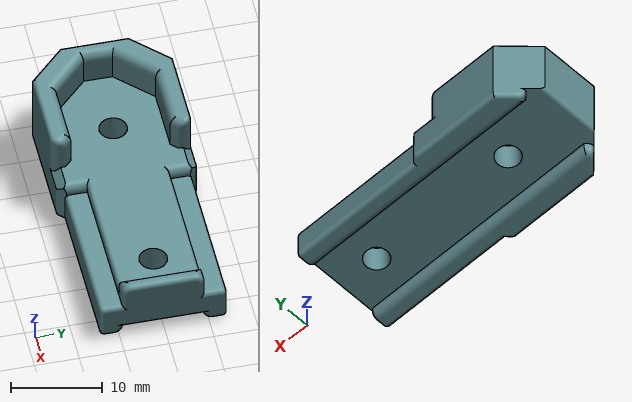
import cadquery as cq

length = 34.7
head_width = 15.6
wall_top = 9.2
small_round = 0.52
large_round = 1.05
half_head = head_width / 2

nose = 4.0
half_front = half_head - nose
floor_height = 5.2
side_chamfer = 0.97
shoulder_end = 16.97
shoulder_chamfer = 0.9

root_height = 2.08

side_thickness = 2.3
front_thickness = 1.8
wall_end = 13.85
wall_end_chamfer = 0.8
inner_half_width = half_head - side_thickness
inner_nose = 3.92

body_start = 10.4
body_width = 14.1
ledge_height = 4.0
tongue_width = 9.15
lip_length = 1.77
lip_top = 6.8

half_channel = 4.5
channel_depth = 1.3
channel_round = 0.97
flare_end = 2.25
hole_diameter = 3.1
hole_positions = (9.37, 29.35)

margin = 0.17


def block(x_start, x_end, width, z_start, z_end):
    """Box centred on the XZ plane."""
    box = cq.Workplane("XY").box(x_end - x_start, width, z_end - z_start, centered=(False, True, False))
    return box.translate((x_start, 0, z_start))


def symmetric_prism(half_outline, z_start, z_end):
    """Extrude an outline given by its +Y half and mirrored in the XZ plane."""
    mirrored = [(x, -y) for x, y in reversed(half_outline)]
    outline = cq.Workplane("XY").workplane(offset=z_start).polyline(half_outline + mirrored)
    return outline.close().extrude(z_end - z_start)


def near(*point):
    """Selector for the edge whose centre is nearest to the point."""
    return cq.selectors.NearestToPointSelector(point)


def make_head():
    shoulder_start = shoulder_end - shoulder_chamfer
    half_shoulder = half_head - shoulder_chamfer
    head = symmetric_prism(
        [(0, half_front), (nose, half_head), (shoulder_start, half_head), (shoulder_end, half_shoulder)],
        0,
        floor_height,
    )
    head = head.faces(">Z").edges("|X").chamfer(side_chamfer)
    head = head.faces(">Z").edges(">X").fillet(side_chamfer)
    corners = near(shoulder_start, half_head, 0) + near(shoulder_start, -half_head, 0)
    return head.edges("|Z").edges(corners).fillet(small_round)


def make_body():
    body = block(body_start, length, body_width, 0, ledge_height)
    return body.faces(">Z").edges("|X").fillet(small_round)


def cut_channel(base):
    mouth = (0, half_channel + flare_end)
    walls = [mouth, (flare_end, half_channel), (length, half_channel)]
    base = base.cut(symmetric_prism(walls, 0, channel_depth))
    half_mouth = half_channel + flare_end / 3
    wall_edges = cq.selectors.BoxSelector((0, -half_mouth, -margin), (length - margin, half_mouth, margin))
    base = base.faces("<Z").edges(wall_edges).fillet(channel_round)
    half_inside = half_channel + channel_round + small_round
    outside = [
        cq.selectors.BoxSelector((0, side * half_inside, -margin), (length - margin, side * head_width, margin))
        for side in (-1, 1)
    ]
    base = base.faces("<Z").edges(outside[0] + outside[1]).fillet(small_round)
    base = base.edges(near(0, 0, channel_depth)).fillet(small_round)
    half_body = body_width / 2
    end_corners = near(length, half_body, ledge_height / 2) + near(length, -half_body, ledge_height / 2)
    return base.edges("|Z").edges(end_corners).fillet(small_round)


def make_wall():
    half_outline = [
        (0, half_front),
        (nose, half_head),
        (wall_end, half_head),
        (wall_end, inner_half_width + wall_end_chamfer),
        (wall_end - wall_end_chamfer, inner_half_width),
        (front_thickness + inner_nose, inner_half_width),
        (front_thickness, inner_half_width - inner_nose),
    ]
    wall = symmetric_prism(half_outline, root_height, wall_top)
    corners = near(wall_end, half_head, wall_top) + near(wall_end, -half_head, wall_top)
    wall = wall.edges("|Z").edges(corners).fillet(side_chamfer)
    half_cavity = inner_half_width + wall_end_chamfer
    cavity = cq.selectors.BoxSelector(
        (nose / 2 + margin, -half_cavity, root_height),
        (wall_end - margin, half_cavity, wall_top + margin),
    )
    cavity_front = near(front_thickness, 0, wall_top)
    wall = wall.faces(">Z").edges(cavity + cavity_front).fillet(large_round)
    outer_edges = near(0, 0, wall_top)
    for side in (-1, 1):
        outer_edges += near(nose / 2, side * (half_front + half_head) / 2, wall_top)
        outer_edges += near((nose + wall_end) / 2, side * half_head, wall_top)
    return wall.faces(">Z").edges(outer_edges).fillet(small_round)


def make_tongue():
    tongue = block(body_start, length - small_round, tongue_width, root_height, floor_height)
    return tongue.faces(">Z").edges("|X").fillet(small_round)


def make_lip():
    lip = block(length - lip_length, length, tongue_width, ledge_height - small_round, lip_top)
    lip = lip.faces(">Z").edges("<X or |X").fillet(large_round)
    return lip.faces(">X").edges("not <Z").fillet(small_round)


def make_holes():
    centres = [(x, 0) for x in hole_positions]
    return cq.Workplane("XY").pushPoints(centres).circle(hole_diameter / 2).extrude(floor_height)


base = cut_channel(make_head().union(make_body()))
result = base.union(make_wall()).union(make_tongue()).union(make_lip()).cut(make_holes())